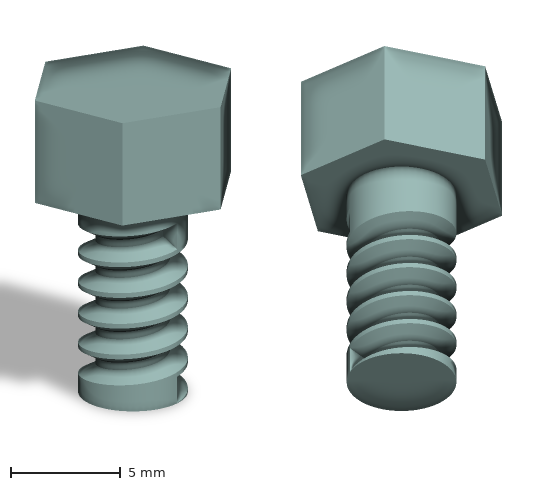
import cadquery as cq
import math

total_length = 15.0
head_height = total_length / 3
shank_length = total_length - head_height
shank_radius = shank_length / 4

head_across_flats = 0.85 * shank_length
head_across_corners = head_across_flats / math.cos(math.radians(30))
head_turn = 1.0

thread_pitch = 1.5
thread_turns = 5
root_radius = 1.71
root_width = 0.36
flank_angle = 30.0
groove_start = 0.66
cutter_overlap = 0.08


def make_head():
    return (
        cq.Workplane("XY")
        .workplane(offset=shank_length)
        .polygon(6, head_across_corners)
        .extrude(head_height)
        .rotate((0, 0, 0), (0, 0, 1), head_turn)
    )


def make_groove_cutter():
    """Sweep a trapezoid, narrow at the root, along a right-handed helix."""
    outer_radius = shank_radius + cutter_overlap
    flank_rise = (outer_radius - root_radius) * math.tan(math.radians(flank_angle))
    root_half = root_width / 2
    mouth_half = root_half + flank_rise
    helix = cq.Wire.makeHelix(thread_pitch, thread_pitch * thread_turns, root_radius)
    return (
        cq.Workplane("XZ")
        .polyline([
            (root_radius, -root_half),
            (outer_radius, -mouth_half),
            (outer_radius, mouth_half),
            (root_radius, root_half),
        ])
        .close()
        .sweep(cq.Workplane(obj=helix), isFrenet=True)
        .translate((0, 0, groove_start))
    )


shank = cq.Workplane("XY").circle(shank_radius).extrude(shank_length)
threaded_shank = shank.cut(make_groove_cutter())
result = threaded_shank.union(make_head())